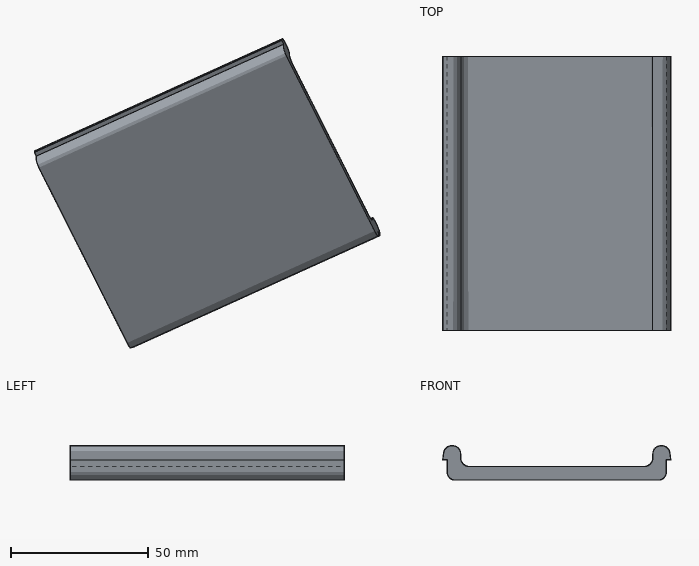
import cadquery as cq
import math

length = 100.0
body_width = 80.0
lip_width = 83.2
inner_width = 70.0
height = 12.6
floor_thickness = 5.0
lip_height = 7.4
lip_edge = 0.2
bead_radius = 3.0
bead_flat = 0.3
corner_radius = 3.0
fillet_radius = 3.2

outer_x = body_width / 2
lip_x = lip_width / 2
wall_inner_x = inner_width / 2
lip_top = lip_height + lip_edge
bead_inner_x = wall_inner_x + bead_radius
bead_outer_x = bead_inner_x + bead_flat
bead_z = height - bead_radius
fillet_z = floor_thickness + fillet_radius

tip_distance = math.hypot(lip_x - bead_outer_x, lip_top - bead_z)
tip_angle = math.atan2(lip_top - bead_z, lip_x - bead_outer_x)
tangent_angle = tip_angle + math.acos(bead_radius / tip_distance)


def on_circle(center_x, center_z, radius, angle):
    return (center_x + radius * math.cos(angle), center_z + radius * math.sin(angle))


def on_outer_bead(angle):
    return on_circle(bead_outer_x, bead_z, bead_radius, angle)


def on_inner_bead(angle):
    return on_circle(bead_inner_x, bead_z, bead_radius, angle)


def on_bottom_corner(angle):
    return on_circle(outer_x - corner_radius, corner_radius, corner_radius, angle)


def on_floor_fillet(angle):
    return on_circle(wall_inner_x - fillet_radius, fillet_z, fillet_radius, angle)


half_section = (
    cq.Workplane("XZ")
    .lineTo(outer_x - corner_radius, 0)
    .threePointArc(on_bottom_corner(-math.pi / 4), on_bottom_corner(0))
    .lineTo(outer_x, lip_height)
    .lineTo(lip_x, lip_height)
    .lineTo(lip_x, lip_top)
    .lineTo(*on_outer_bead(tangent_angle))
    .threePointArc(on_outer_bead((tangent_angle + math.pi / 2) / 2), on_outer_bead(math.pi / 2))
    .lineTo(bead_inner_x, height)
    .threePointArc(on_inner_bead(3 * math.pi / 4), on_inner_bead(math.pi))
    .lineTo(wall_inner_x, fillet_z)
    .threePointArc(on_floor_fillet(-math.pi / 4), on_floor_fillet(-math.pi / 2))
    .lineTo(0, floor_thickness)
    .close()
)

half_channel = half_section.extrude(length / 2, both=True)
result = half_channel.union(half_channel.mirror("YZ")).clean()